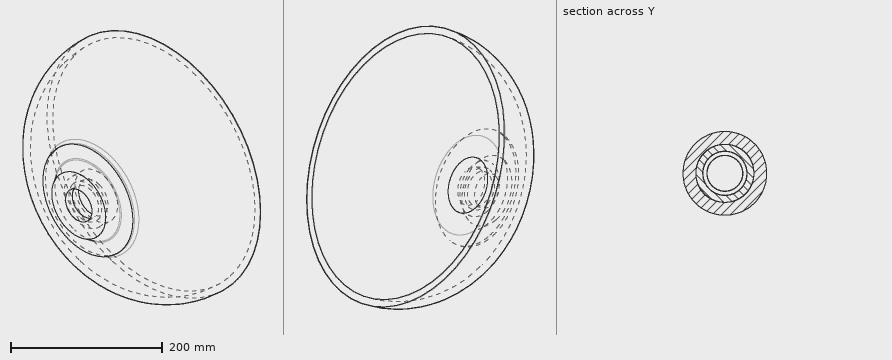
import cadquery as cq
import math

full_turn = 360.0
rim_radius = 190.0
rim_band = 1.0
bowl_arc_radius = 122.5
bowl_arc_center_radius = rim_radius - bowl_arc_radius
wall_thickness = 10.0
floor_depth = rim_band + bowl_arc_radius - wall_thickness

foot_radius = 80.0
foot_depth = 130.0
foot_blend = 4.5
boss_end_radius = 48.0
boss_end_depth = 148.0
boss_half_angle = 30.0
boss_base_radius = boss_end_radius + (boss_end_depth - foot_depth) * math.tan(math.radians(boss_half_angle))
boss_blend = 2.0

bore_radius = 23.5
bore_length = 13.2
recess_depth = boss_end_depth - bore_length
recess_radius = 38.0

hollow_mouth_radius = 29.0
hollow_top_radius = 26.0
hollow_top_depth = 119.5
hollow_dome_radius = 70.0
cover_thickness = 5.0


def turned(profile):
    """Close a radius-against-Y profile and turn it into a solid about the Y axis."""
    return profile.close().revolve(full_turn, (0, 0, 0), (0, 1, 0))


def bowl_arc(arc_radius, angle_degrees):
    """Point on a bowl wall arc, the angle measured from the rim towards the floor."""
    angle = math.radians(angle_degrees)
    return (
        bowl_arc_center_radius + arc_radius * math.cos(angle),
        -rim_band - arc_radius * math.sin(angle),
    )


def make_basin():
    inner_arc_radius = bowl_arc_radius - wall_thickness

    blend_center_radius = foot_radius + foot_blend
    blend_offset = blend_center_radius - bowl_arc_center_radius
    blend_distance = bowl_arc_radius + foot_blend
    blend_angle = math.degrees(math.acos(blend_offset / blend_distance))
    blend_center_depth = rim_band + blend_distance * math.sin(math.radians(blend_angle))
    blend_mid_angle = math.radians((180 + blend_angle) / 2)
    blend_mid = (
        blend_center_radius + foot_blend * math.cos(blend_mid_angle),
        -blend_center_depth + foot_blend * math.sin(blend_mid_angle),
    )

    profile = (
        cq.Workplane("XY")
        .moveTo(rim_radius - wall_thickness, 0)
        .lineTo(rim_radius, 0)
        .lineTo(rim_radius, -rim_band)
        .threePointArc(bowl_arc(bowl_arc_radius, blend_angle / 2), bowl_arc(bowl_arc_radius, blend_angle))
        .threePointArc(blend_mid, (foot_radius, -blend_center_depth))
        .lineTo(foot_radius, -foot_depth)
        .lineTo(boss_base_radius, -foot_depth)
        .lineTo(boss_end_radius, -boss_end_depth)
        .lineTo(bore_radius, -boss_end_depth)
        .lineTo(bore_radius, -recess_depth)
        .lineTo(recess_radius, -recess_depth)
        .lineTo(recess_radius, -floor_depth)
        .lineTo(bowl_arc_center_radius, -floor_depth)
        .threePointArc(bowl_arc(inner_arc_radius, 45), bowl_arc(inner_arc_radius, 0))
    )
    basin = turned(profile)

    corner_reach = (foot_radius + boss_base_radius) / 2
    corner_half_depth = boss_blend / 2
    boss_corner = cq.selectors.BoxSelector(
        (-corner_reach, -foot_depth - corner_half_depth, -corner_reach),
        (corner_reach, -foot_depth + corner_half_depth, corner_reach),
        boundingbox=True,
    )
    return basin.edges(boss_corner).fillet(boss_blend)


def dome_rise(sphere_radius, half_span):
    """Height of a spherical dome over the circle it stands on."""
    return sphere_radius - math.sqrt(sphere_radius**2 - half_span**2)


def make_drain_cover():
    underside_peak = -hollow_top_depth + dome_rise(hollow_dome_radius, hollow_top_radius)
    underside_mid_radius = hollow_top_radius / 2
    underside_mid = underside_peak - dome_rise(hollow_dome_radius, underside_mid_radius)

    top_peak = underside_peak + cover_thickness
    top_rise = top_peak + floor_depth
    top_dome_radius = (recess_radius**2 + top_rise**2) / (2 * top_rise)
    top_mid_radius = recess_radius / 2
    top_mid = top_peak - dome_rise(top_dome_radius, top_mid_radius)

    profile = (
        cq.Workplane("XY")
        .moveTo(0, underside_peak)
        .threePointArc((underside_mid_radius, underside_mid), (hollow_top_radius, -hollow_top_depth))
        .lineTo(hollow_mouth_radius, -recess_depth)
        .lineTo(recess_radius, -recess_depth)
        .lineTo(recess_radius, -floor_depth)
        .threePointArc((top_mid_radius, top_mid), (0, top_peak))
    )
    return turned(profile)


basin = make_basin()
drain_cover = make_drain_cover()
result = cq.Compound.makeCompound([basin.val(), drain_cover.val()])